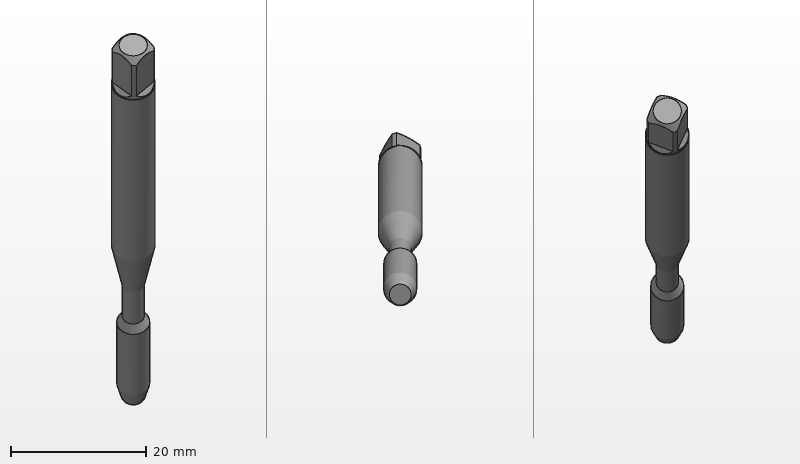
import cadquery as cq

total_length = 80.1
shank_radius = 6.5 / 2
tang_radius = 6.25 / 2
head_radius = 4.9 / 2
neck_radius = 3.3 / 2

tip_face_radius = 1.6
tip_radius = 1.85
tip_chamfer = 0.5
lead_length = 3.1
shoulder_length = 1.45
head_length = 18.5

neck_end = 25.55
neck_bevel = 0.25
taper_end_radius = 1.7
shank_start = 34.7
shank_end = 71.4
flats_start = 72.2
tang_width = 4.9
tang_chamfer = 1.05


def revolve_profile(points):
    """Turn a closed half profile of (radius, height) points about the Z axis."""
    return cq.Workplane("XZ").polyline(points).close().revolve(360, (0, 0, 0), (0, 1, 0))


def make_cutting_head():
    return revolve_profile([
        (0, 0),
        (tip_face_radius, 0),
        (tip_radius, tip_chamfer),
        (head_radius, lead_length),
        (head_radius, head_length - shoulder_length),
        (neck_radius, head_length),
        (0, head_length),
    ])


def make_tang():
    """Round bar with a conical top and four flats that run out on 45 degree planes."""
    round_bar = (
        cq.Workplane("XY", origin=(0, 0, shank_end))
        .circle(tang_radius)
        .extrude(total_length - shank_end)
        .faces(">Z")
        .chamfer(tang_chamfer)
    )
    flats_plane = cq.Workplane("XY", origin=(0, 0, flats_start))
    flats = flats_plane.rect(tang_width, tang_width).extrude(total_length - flats_start)
    runout = flats_plane.rect(tang_width, tang_width).extrude(shank_end - flats_start, taper=-45)
    return round_bar.intersect(flats.union(runout))


def make_holder():
    body = revolve_profile([
        (0, head_length),
        (neck_radius, head_length),
        (neck_radius, neck_end),
        (taper_end_radius, neck_end + neck_bevel),
        (shank_radius, shank_start),
        (shank_radius, shank_end),
        (0, shank_end),
    ])
    return body.union(make_tang())


cutting_head = make_cutting_head()
holder = make_holder()

result = cq.Compound.makeCompound([cutting_head.val(), holder.val()])